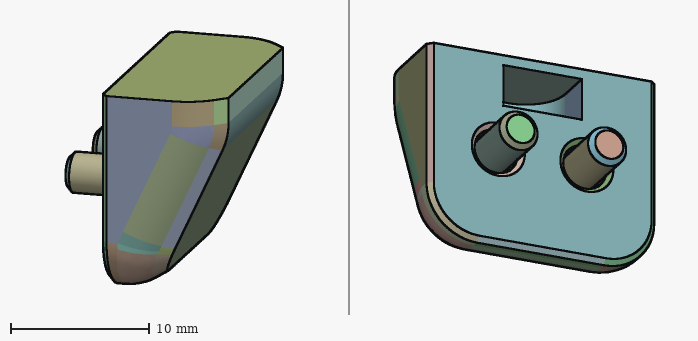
import cadquery as cq
import math

WIDTH = 18.0
DEPTH = 9.0
HEIGHT = 15.0
CORNER_RADIUS = 4.0
BACK_CHAMFER = 0.4

SLOPE_ANGLE = math.radians(25)
SLOPE_TOP = 3.0
BEND_RADIUS = 5.0

FRONT_CHAMFER = 2.0
BLEND_RADIUS = 4.0

RECESS_WIDTH = 6.2
RECESS_HEIGHT = 3.2
RECESS_TOP = 0.8
RECESS_STRAIGHT = 3.0

PIN_DIAMETER = 3.0
PIN_PROTRUSION = 4.0
PIN_CHAMFER = 0.4
PIN_SPACING = 7.0
PIN_DROP = 7.5
HOLE_DIAMETER = 3.4
HOLE_DEPTH = 2.0
HOLE_CHAMFER = 0.4

PIN_POSITIONS = [(-PIN_SPACING / 2, -PIN_DROP), (PIN_SPACING / 2, -PIN_DROP)]

BOTTOM_SETBACK = FRONT_CHAMFER * math.tan((math.pi / 2 - SLOPE_ANGLE) / 2)
TRIM_HEIGHT = (FRONT_CHAMFER - BOTTOM_SETBACK) * math.cos(SLOPE_ANGLE)


def sloped_wedge():
    """Full-width wedge with the side profile of the front, down to where the slope meets the back."""
    wedge_height = SLOPE_TOP + DEPTH / math.tan(SLOPE_ANGLE)
    wedge = (
        cq.Workplane("XZ")
        .polyline([(0, 0), (DEPTH, 0), (DEPTH, -SLOPE_TOP), (0, -wedge_height)])
        .close()
        .extrude(WIDTH / 2, both=True)
    )
    return wedge.faces(">X").edges("<Z").fillet(BEND_RADIUS)


def rounded_slab(height):
    """Slab with the outline of the back face: square at the top, rounded lower corners."""
    return (
        cq.Workplane("YZ")
        .rect(WIDTH, height)
        .extrude(DEPTH)
        .translate((0, 0, -height / 2))
        .edges("|X and <Z")
        .fillet(CORNER_RADIUS)
    )


def housing_body():
    """Solid housing with the chamfer and the rounding that run along the front edge."""
    tall_body = sloped_wedge().intersect(rounded_slab(HEIGHT + TRIM_HEIGHT))
    chamfered = tall_body.faces("<Z").edges(">X").chamfer(FRONT_CHAMFER)
    trimmed = chamfered.intersect(rounded_slab(HEIGHT))
    blended = trimmed.faces("<Z").edges(">X").fillet(BLEND_RADIUS)
    return blended.faces("<X").edges("<Z").chamfer(BACK_CHAMFER)


def recess():
    """Pocket that opens in the back face and ends in a half cylinder."""
    half_width = RECESS_WIDTH / 2
    return (
        cq.Workplane("XY", origin=(0, 0, -RECESS_TOP))
        .moveTo(0, -half_width)
        .lineTo(RECESS_STRAIGHT, -half_width)
        .threePointArc((RECESS_STRAIGHT + half_width, 0), (RECESS_STRAIGHT, half_width))
        .lineTo(0, half_width)
        .close()
        .extrude(-RECESS_HEIGHT)
    )


def pin_hole(y, z):
    """Blind hole with a chamfered mouth."""
    mouth_radius = HOLE_DIAMETER / 2 + HOLE_CHAMFER
    hole_profile = [
        (0, 0),
        (0, mouth_radius),
        (HOLE_CHAMFER, HOLE_DIAMETER / 2),
        (HOLE_DEPTH, HOLE_DIAMETER / 2),
        (HOLE_DEPTH, 0),
    ]
    hole = cq.Workplane("XY").polyline(hole_profile).close().revolve(360, (0, 0), (1, 0))
    return hole.translate((0, y, z))


def make_housing():
    housing = housing_body().cut(recess())
    for y, z in PIN_POSITIONS:
        housing = housing.cut(pin_hole(y, z))
    return housing


def make_pin(y, z):
    """Round pin that rests on the floor of its hole, with a chamfered outer end."""
    return (
        cq.Workplane("YZ", origin=(-PIN_PROTRUSION, y, z))
        .circle(PIN_DIAMETER / 2)
        .extrude(PIN_PROTRUSION + HOLE_DEPTH)
        .faces("<X")
        .chamfer(PIN_CHAMFER)
    )


housing = make_housing()
pins = [make_pin(y, z) for y, z in PIN_POSITIONS]

result = cq.Compound.makeCompound([housing.val(), *[pin.val() for pin in pins]])